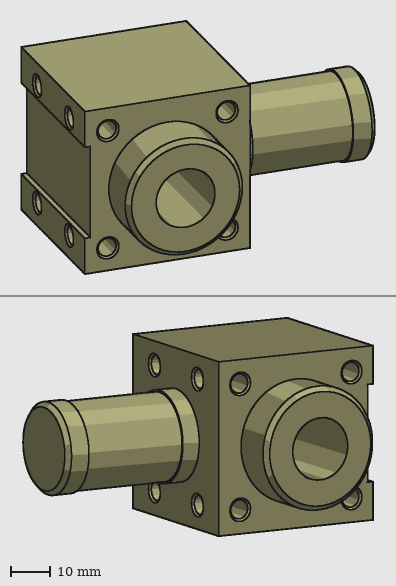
import cadquery as cq

block_length = 44.0
block_side = 45.0
half_side = block_side / 2

channel_height = 25.2
channel_depth = 1.5

overall_length = 69.0
boss_diameter = 32.0
boss_chamfer = 1.25
bore_diameter = 16.0

overall_depth = 83.5
spigot_length = overall_depth - block_side
collar_diameter = 24.0
neck_diameter = 23.05
root_collar_length = 4.8
end_collar_length = 6.35
spigot_chamfer = 1.25

hole_diameter = 4.9
hole_mouth_diameter = 6.0
hole_chamfer = (hole_mouth_diameter - hole_diameter) / 2
hole_pitch = 32.5
front_hole_spacing = 22.05


def make_block():
    block = cq.Workplane("XY").box(block_length, block_side, block_side)
    channel = cq.Workplane("XY").box(block_length, channel_depth, channel_height)
    return block.cut(channel.translate((0, (channel_depth - block_side) / 2, 0)))


def make_bosses():
    """One cylinder through the block, protruding on both sides."""
    return (
        cq.Workplane("YZ")
        .circle(boss_diameter / 2)
        .extrude(overall_length / 2, both=True)
        .edges()
        .chamfer(boss_chamfer)
    )


def spigot_section(diameter, start, length):
    """Cylinder along +Y, starting at a distance from the block's rear face."""
    plane = cq.Plane(origin=(0, half_side + start, 0), xDir=(1, 0, 0), normal=(0, 1, 0))
    return cq.Workplane(plane).circle(diameter / 2).extrude(length)


def make_spigot():
    end_collar_start = spigot_length - end_collar_length
    root_collar = spigot_section(collar_diameter, 0, root_collar_length)
    neck = spigot_section(neck_diameter, 0, end_collar_start)
    end_collar = spigot_section(collar_diameter, end_collar_start, end_collar_length)
    end_collar = end_collar.faces(">Y").edges().chamfer(spigot_chamfer)
    return root_collar.union(neck).union(end_collar)


def chamfered_hole(length):
    """Tool along +Z, centred on the origin, for a through hole flared at both mouths."""
    drill = cq.Workplane("XY").circle(hole_diameter / 2).extrude(length / 2, both=True)
    flare = (
        cq.Workplane("XY")
        .workplane(offset=length / 2)
        .circle(hole_mouth_diameter / 2)
        .workplane(offset=-hole_chamfer)
        .circle(hole_diameter / 2)
        .loft()
    )
    return drill.union(flare).union(flare.mirror("XY"))


def drill_holes(body):
    """Four holes along X and four along Y, crossing inside the block."""
    along_x = chamfered_hole(block_length).rotate((0, 0, 0), (0, 1, 0), 90)
    along_y = chamfered_hole(block_side).rotate((0, 0, 0), (1, 0, 0), 90)
    for side in (-1, 1):
        for level in (-1, 1):
            z = level * hole_pitch / 2
            body = body.cut(along_x.translate((0, side * hole_pitch / 2, z)))
            body = body.cut(along_y.translate((side * front_hole_spacing / 2, 0, z)))
    return body


def bore_through(body):
    bore = cq.Workplane("YZ").circle(bore_diameter / 2).extrude(overall_length / 2, both=True)
    return body.cut(bore)


result = make_block().union(make_bosses()).union(make_spigot())
result = bore_through(drill_holes(result))